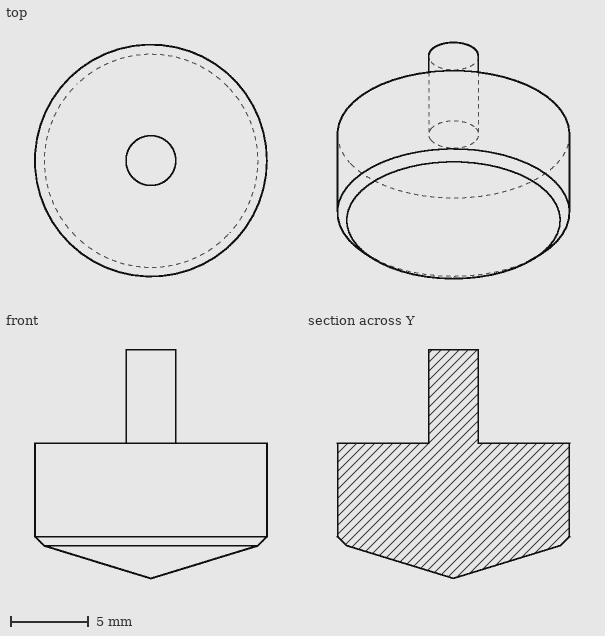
import cadquery as cq

body_diameter = 14.9
body_height = 6.0
chamfer_size = 0.6
cone_height = 2.1
stem_diameter = 3.2
stem_length = 6.0

body_radius = body_diameter / 2
stem_radius = stem_diameter / 2
cone_radius = body_radius - chamfer_size
wall_bottom_z = -body_height
cone_base_z = wall_bottom_z - chamfer_size
tip_z = cone_base_z - cone_height


def turned_part():
    """Revolve the half profile (radius, height) about the Z axis."""
    half_profile = (
        cq.Workplane("XZ")
        .moveTo(0, tip_z)
        .lineTo(cone_radius, cone_base_z)
        .lineTo(body_radius, wall_bottom_z)
        .lineTo(body_radius, 0)
        .lineTo(stem_radius, 0)
        .lineTo(stem_radius, stem_length)
        .lineTo(0, stem_length)
        .close()
    )
    return half_profile.revolve(360, (0, 0, 0), (0, 1, 0))


result = turned_part()